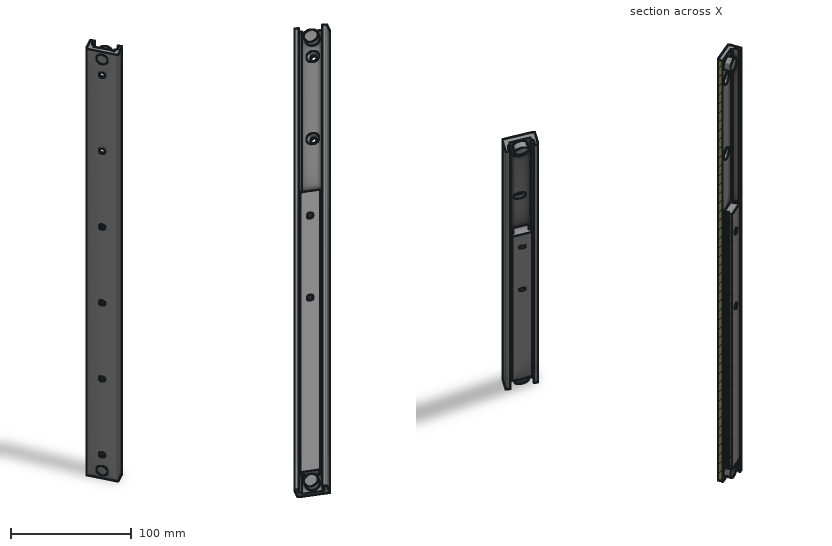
import cadquery as cq
import math

RAIL_LENGTH = 450.0
RAIL_WIDTH = 28.0
RAIL_DEPTH = 12.0
RAIL_CORNER_RADIUS = 1.0
FLOOR_THICKNESS = 4.5
CHANNEL_WIDTH = 18.0
MOUTH_WIDTH = 20.2

RACE_HEIGHT = 8.5
RAIL_RACE_HALF_GAP = 11.2
RAIL_RACE_HALF_OPENING = 2.2
SLIDER_RACE_HALF_GAP = 6.5
SLIDER_RACE_HALF_OPENING = 2.0

HOLE_LAND = 2.0
COUNTERSINK_ANGLE = 90
HOLE_RADIUS = 2.75
HOLE_PITCH = 80.0
HOLE_COUNT = 6

STOP_OFFSET = 217.0
SHANK_DIAMETER = 10.0
HEAD_DIAMETER = 12.0
HEAD_HEIGHT = 6.5

OVERALL_DEPTH = 13.0
SLIDER_WIDTH = 17.0
SLIDER_FLOOR_GAP = 1.0
SLIDER_LENGTH = 273.0
SLIDER_BOTTOM = -209.2
SLIDER_HOLE_SPOTS = (HOLE_PITCH / 2, -HOLE_PITCH / 2)

CAGE_THICKNESS = 1.5
CAGE_HEIGHT = 2.2
CAGE_HALF_GAP = 7.5


def extrude_along_z(sketch, bottom, length):
    return sketch.extrude(length).translate((0, 0, bottom))


def cylinder_along_y(diameter, start_y, length, z):
    """Cylinder that starts at start_y and points towards +Y."""
    return cq.Workplane("XZ", origin=(0, start_y, z)).circle(diameter / 2).extrude(-length)


def countersunk_hole(z):
    """Hole through the rail floor that widens to a cone from HOLE_LAND up to the channel."""
    cone_height = FLOOR_THICKNESS - HOLE_LAND
    opening_radius = HOLE_RADIUS + cone_height * math.tan(math.radians(COUNTERSINK_ANGLE / 2))
    cone = cq.Solid.makeCone(
        HOLE_RADIUS, opening_radius, cone_height, cq.Vector(0, HOLE_LAND, z), cq.Vector(0, 1, 0)
    )
    return cylinder_along_y(2 * HOLE_RADIUS, 0, FLOOR_THICKNESS, z).union(cq.Workplane(cone))


def make_rail():
    half_channel = CHANNEL_WIDTH / 2
    half_mouth = MOUTH_WIDTH / 2
    race_low = RACE_HEIGHT - RAIL_RACE_HALF_OPENING
    race_high = RACE_HEIGHT + RAIL_RACE_HALF_OPENING

    body = cq.Workplane("XY").box(RAIL_WIDTH, RAIL_DEPTH, RAIL_LENGTH, centered=(True, False, True))
    body = body.edges("|Z").fillet(RAIL_CORNER_RADIUS)
    channel = (
        cq.Workplane("XY")
        .moveTo(-half_channel, FLOOR_THICKNESS)
        .lineTo(half_channel, FLOOR_THICKNESS)
        .lineTo(half_channel, race_low)
        .threePointArc((RAIL_RACE_HALF_GAP, RACE_HEIGHT), (half_mouth, race_high))
        .lineTo(half_mouth, RAIL_DEPTH)
        .lineTo(-half_mouth, RAIL_DEPTH)
        .lineTo(-half_mouth, race_high)
        .threePointArc((-RAIL_RACE_HALF_GAP, RACE_HEIGHT), (-half_channel, race_low))
        .close()
    )
    body = body.cut(extrude_along_z(channel, -RAIL_LENGTH / 2, RAIL_LENGTH))

    for index in range(HOLE_COUNT):
        hole_z = (index - (HOLE_COUNT - 1) / 2) * HOLE_PITCH
        body = body.cut(countersunk_hole(hole_z))
    for stop_z in (-STOP_OFFSET, STOP_OFFSET):
        body = body.cut(cylinder_along_y(SHANK_DIAMETER, 0, FLOOR_THICKNESS, stop_z))
    return body


def make_end_stop(stop_z):
    shank = cylinder_along_y(SHANK_DIAMETER, 0, FLOOR_THICKNESS, stop_z)
    head = cylinder_along_y(HEAD_DIAMETER, FLOOR_THICKNESS, HEAD_HEIGHT, stop_z)
    return shank.union(head)


def make_slider():
    half_width = SLIDER_WIDTH / 2
    race_low = RACE_HEIGHT - SLIDER_RACE_HALF_OPENING
    race_high = RACE_HEIGHT + SLIDER_RACE_HALF_OPENING
    inner_face = FLOOR_THICKNESS + SLIDER_FLOOR_GAP

    section = (
        cq.Workplane("XY")
        .moveTo(-half_width, inner_face)
        .lineTo(half_width, inner_face)
        .lineTo(half_width, race_low)
        .threePointArc((SLIDER_RACE_HALF_GAP, RACE_HEIGHT), (half_width, race_high))
        .lineTo(half_width, OVERALL_DEPTH)
        .lineTo(-half_width, OVERALL_DEPTH)
        .lineTo(-half_width, race_high)
        .threePointArc((-SLIDER_RACE_HALF_GAP, RACE_HEIGHT), (-half_width, race_low))
        .close()
    )
    body = extrude_along_z(section, SLIDER_BOTTOM, SLIDER_LENGTH)
    for hole_z in SLIDER_HOLE_SPOTS:
        body = body.cut(cylinder_along_y(2 * HOLE_RADIUS, 0, OVERALL_DEPTH, hole_z))
    return body


def make_cage(side):
    """Cage strip on the +X side (side = 1) or the -X side (side = -1)."""
    center_x = side * (CAGE_HALF_GAP + CAGE_THICKNESS / 2)
    section = cq.Workplane("XY").center(center_x, RACE_HEIGHT).rect(CAGE_THICKNESS, CAGE_HEIGHT)
    return extrude_along_z(section, SLIDER_BOTTOM, SLIDER_LENGTH)


rail = make_rail()
end_stops = [make_end_stop(stop_z) for stop_z in (-STOP_OFFSET, STOP_OFFSET)]
slider = make_slider()
cages = [make_cage(side) for side in (-1, 1)]

result = cq.Compound.makeCompound(
    [
        rail.val(),
        *[end_stop.val() for end_stop in end_stops],
        slider.val(),
        *[cage.val() for cage in cages],
    ]
)